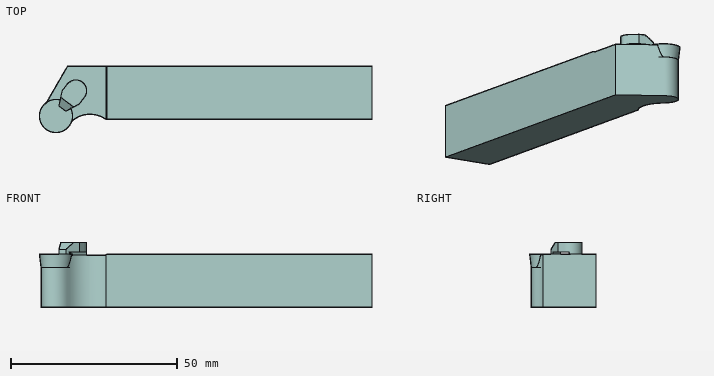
import cadquery as cq
import math

tool_length = 100.0
shank_back = 20.0
shank_size = 16.0
shank_front = shank_back - shank_size
head_length = 20.0
head_drop = 0.3
head_top = shank_size - head_drop

insert_radius = 5.0
insert_thickness = 4.0
relief_angle = 7.0
insert_top = shank_size
insert_bottom = insert_top - insert_thickness
insert_center = (insert_radius, insert_radius)
insert_bottom_radius = insert_radius - insert_thickness * math.tan(math.radians(relief_angle))

pillar_radius = 4.5
flank_angle = 60.0
throat_angle = 45.0
throat_radius = 8.0
throat_apex = (15.15, 5.5)

clamp_center = (10.95, 12.6)
clamp_angle = 53.0
clamp_radius = 3.25
clamp_top = 19.5
clamp_underside = 16.6
shoulder_reach = 2.5
bevel_reach = 4.3
lip_reach = 5.5
nose_reach = 6.7
nose_width = 2.65
nose_top = 17.4
heel_offset = 1.2
heel_slope_run = 0.5


def polar(center, radius, angle):
    """Point at a radius and an angle in degrees around a center."""
    turn = math.radians(angle)
    return (center[0] + radius * math.cos(turn), center[1] + radius * math.sin(turn))


def make_shank():
    """Square bar whose top slopes down to the head at 45 degrees."""
    return (
        cq.Workplane("XZ", origin=(0, shank_back, 0))
        .moveTo(head_length, 0)
        .lineTo(head_length, head_top)
        .lineTo(head_length + head_drop, shank_size)
        .lineTo(tool_length, shank_size)
        .lineTo(tool_length, 0)
        .close()
        .extrude(shank_size)
    )


def make_head():
    flank_end = polar(insert_center, pillar_radius, flank_angle + 90)
    flank_run = (shank_back - flank_end[1]) / math.tan(math.radians(flank_angle))
    back_corner = (flank_end[0] + flank_run, shank_back)
    pillar_far = polar(insert_center, pillar_radius, flank_angle + 180)
    pillar_end = polar(insert_center, pillar_radius, -throat_angle)

    throat_center = (throat_apex[0], throat_apex[1] - throat_radius)
    throat_start = polar(throat_center, throat_radius, 90 + throat_angle)
    throat_middle = polar(throat_center, throat_radius, 90 + throat_angle / 2)

    run = head_length - throat_apex[0]
    fall = throat_apex[1] - shank_front
    runout_radius = (run**2 + fall**2) / (2 * fall)
    runout_center = (throat_apex[0], throat_apex[1] - runout_radius)
    runout_turn = math.degrees(math.asin(run / runout_radius))
    runout_middle = polar(runout_center, runout_radius, 90 - runout_turn / 2)

    return (
        cq.Workplane("XY")
        .moveTo(head_length, shank_back)
        .lineTo(*back_corner)
        .lineTo(*flank_end)
        .threePointArc(pillar_far, pillar_end)
        .lineTo(*throat_start)
        .threePointArc(throat_middle, throat_apex)
        .threePointArc(runout_middle, (head_length, shank_front))
        .close()
        .extrude(head_top)
    )


def make_clamp():
    plan = (
        cq.Workplane("XY")
        .moveTo(-nose_reach, -nose_width / 2)
        .lineTo(-shoulder_reach, -clamp_radius)
        .lineTo(0, -clamp_radius)
        .threePointArc((clamp_radius, 0), (0, clamp_radius))
        .lineTo(-shoulder_reach, clamp_radius)
        .lineTo(-nose_reach, nose_width / 2)
        .close()
        .extrude(clamp_top)
    )
    side = (
        cq.Workplane("XZ")
        .moveTo(-nose_reach, insert_top)
        .lineTo(-nose_reach, nose_top)
        .lineTo(-bevel_reach, clamp_top)
        .lineTo(clamp_radius, clamp_top)
        .lineTo(clamp_radius, head_top)
        .lineTo(heel_offset + heel_slope_run, head_top)
        .lineTo(heel_offset, clamp_underside)
        .lineTo(-lip_reach, clamp_underside)
        .lineTo(-lip_reach, insert_top)
        .close()
        .extrude(clamp_radius, both=True)
    )
    clamp = plan.intersect(side)
    return clamp.rotate((0, 0, 0), (0, 0, 1), clamp_angle).translate((*clamp_center, 0))


def make_insert():
    return (
        cq.Workplane("XY", origin=(*insert_center, insert_bottom))
        .circle(insert_bottom_radius)
        .workplane(offset=insert_thickness)
        .circle(insert_radius)
        .loft(ruled=True)
    )


insert = make_insert()
holder = make_head().union(make_shank()).cut(insert).union(make_clamp())

result = cq.Compound.makeCompound([holder.val(), insert.val()])